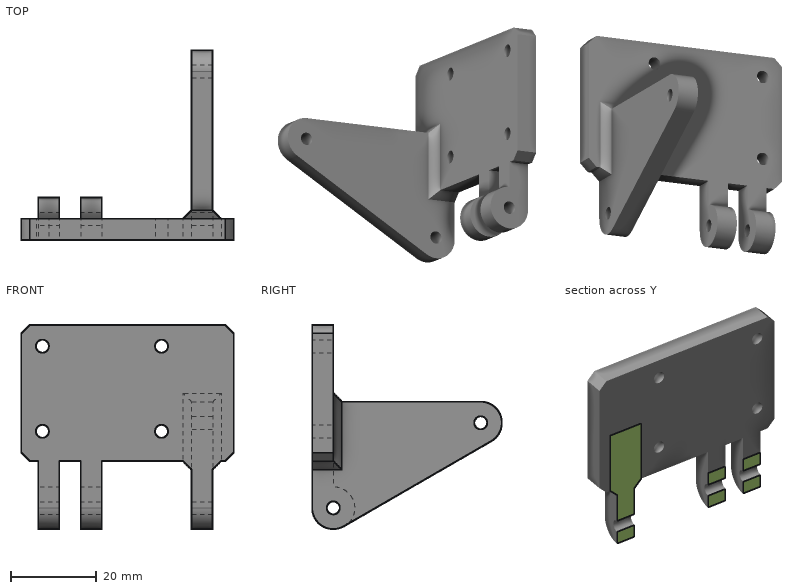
import cadquery as cq
import math


plate_width = 50.0
plate_height = 32.0
thickness = 5.0
corner_chamfer = 2.0
plate_front = -thickness
plate_bottom = 11.0
plate_top = plate_bottom + plate_height

hole_diameter = 3.0
hole_margin = 5.0
hole_spacing_x = 28.0
hole_spacing_z = 20.0

eye_radius = thickness
pivot_diameter = 3.0

lug_width = thickness
clevis_gap = 5.0
outer_lug_start = 4.0
inner_lug_start = outer_lug_start + lug_width + clevis_gap

arm_start = 40.0
arm_end = arm_start + lug_width
arm_length = 40.0
arm_angle = math.radians(30)
arm_y = arm_length * math.cos(arm_angle)
arm_z = arm_length * math.sin(arm_angle)
arm_top = arm_z + eye_radius

gusset_leg = 2.0


def along_x(start):
    """YZ sketch plane at the given X, extruding toward +X."""
    return cq.Workplane("YZ").workplane(offset=start)


def make_plate():
    plate = (
        cq.Workplane("XY")
        .box(plate_width, thickness, plate_height, centered=False)
        .translate((0, plate_front, plate_bottom))
        .edges("|Y")
        .chamfer(corner_chamfer)
    )
    left = hole_margin
    top = plate_top - hole_margin
    centres = [
        (x, z)
        for x in (left, left + hole_spacing_x)
        for z in (top, top - hole_spacing_z)
    ]
    holes = cq.Workplane("XZ").pushPoints(centres).circle(hole_diameter / 2).extrude(thickness)
    return plate.cut(holes)


def make_lug(start):
    """Strip hanging below the plate that ends in a round eye."""
    strip = (
        along_x(start)
        .moveTo(plate_front, 0)
        .lineTo(0, 0)
        .lineTo(0, plate_bottom)
        .lineTo(plate_front, plate_bottom)
        .close()
        .extrude(lug_width)
    )
    eye = along_x(start).circle(eye_radius).extrude(lug_width)
    return strip.union(eye)


def make_arm():
    """Web with a level top edge and a lower edge tangent to both eyes."""
    tangent_y = eye_radius * math.sin(arm_angle)
    tangent_z = -eye_radius * math.cos(arm_angle)
    web = (
        along_x(arm_start)
        .moveTo(0, 0)
        .lineTo(tangent_y, tangent_z)
        .lineTo(arm_y + tangent_y, arm_z + tangent_z)
        .threePointArc((arm_y + eye_radius, arm_z), (arm_y, arm_top))
        .lineTo(0, arm_top)
        .close()
        .extrude(lug_width)
    )
    return web.union(make_lug(arm_start))


def make_gusset():
    """Mitred chamfer around the arm root, common to three 45 degree profiles."""
    wide_start = arm_start - gusset_leg
    wide_end = arm_end + gusset_leg
    bottom = plate_bottom - gusset_leg
    top = arm_top + gusset_leg

    front_profile = (
        cq.Workplane("XZ", origin=(0, plate_front, 0))
        .polyline([
            (arm_start, bottom),
            (arm_end, bottom),
            (wide_end, plate_bottom),
            (wide_end, top),
            (wide_start, top),
            (wide_start, plate_bottom),
        ])
        .close()
        .extrude(-(thickness + gusset_leg))
    )
    top_profile = (
        cq.Workplane("XY", origin=(0, 0, bottom))
        .polyline([
            (wide_start, plate_front),
            (wide_end, plate_front),
            (wide_end, 0),
            (arm_end, gusset_leg),
            (arm_start, gusset_leg),
            (wide_start, 0),
        ])
        .close()
        .extrude(top - bottom)
    )
    side_profile = (
        along_x(wide_start)
        .polyline([
            (plate_front, bottom),
            (gusset_leg, bottom),
            (gusset_leg, arm_top),
            (0, top),
            (plate_front, top),
        ])
        .close()
        .extrude(wide_end - wide_start)
    )
    return front_profile.intersect(top_profile).intersect(side_profile)


def make_pivot_holes():
    return (
        along_x(0)
        .pushPoints([(0, 0), (arm_y, arm_z)])
        .circle(pivot_diameter / 2)
        .extrude(plate_width)
    )


result = (
    make_plate()
    .union(make_lug(outer_lug_start))
    .union(make_lug(inner_lug_start))
    .union(make_arm())
    .union(make_gusset())
    .cut(make_pivot_holes())
)